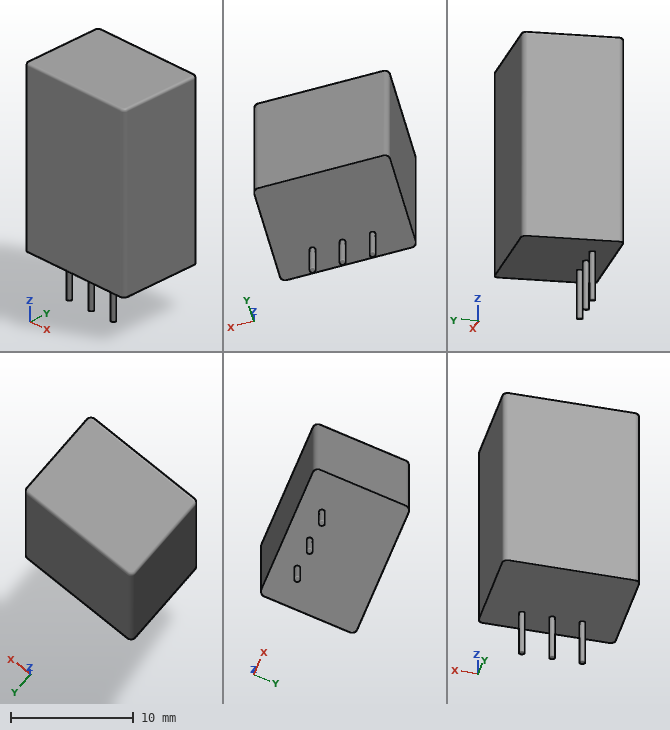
import cadquery as cq

housing_length = 11.5
housing_width = 8.5
housing_height = 17.5
corner_radius = 0.45
top_edge_radius = 0.25

overall_height = 21.6
pin_diameter = 0.5
pin_length = overall_height - housing_height
pin_tip_radius = 0.07
pin_count = 3
pin_pitch = 2.54
pin_row_inset = 2.0
pin_row_y = -housing_width / 2 + pin_row_inset


def make_housing():
    """Block with rounded upright corners and a smaller rounding around the top face."""
    block = cq.Workplane("XY").box(
        housing_length, housing_width, housing_height, centered=(True, True, False)
    )
    return block.edges("|Z").fillet(corner_radius).faces(">Z").edges().fillet(top_edge_radius)


def make_pin(x):
    """Round pin hanging from the underside of the housing, with a rounded lower tip."""
    pin = cq.Workplane("XY").center(x, pin_row_y).circle(pin_diameter / 2).extrude(-pin_length)
    return pin.faces("<Z").edges().fillet(pin_tip_radius)


housing = make_housing()

pins = []
for index in range(pin_count):
    pin_x = (index - (pin_count - 1) / 2) * pin_pitch
    pins.append(make_pin(pin_x))

result = cq.Compound.makeCompound([housing.val(), *[pin.val() for pin in pins]])